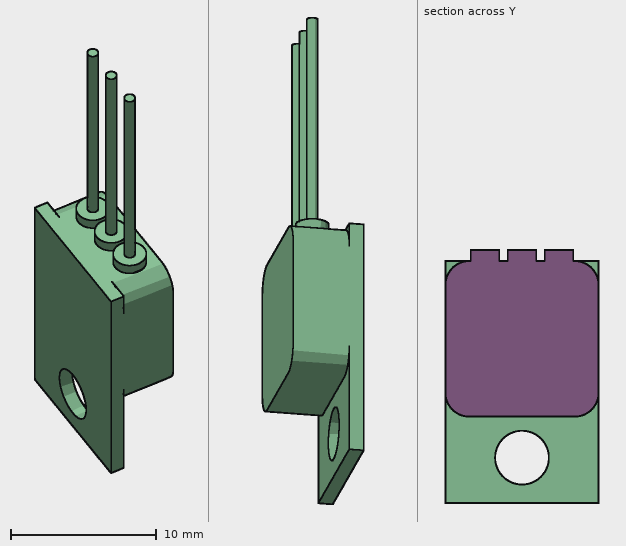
import cadquery as cq

plate_width = 10.54
plate_height = 16.64
plate_thickness = 1.02

hole_diameter = 3.68
hole_below_plate_top = 13.51

overall_depth = 4.95
body_height = 10.7
body_corner_radius = 1.65
body_depth = overall_depth - plate_thickness

overall_height = 32.51
lead_count = 3
lead_pitch = 2.54
lead_diameter = 0.76
lead_y = 3.05
collar_diameter = 2.29
collar_height = 0.76
lead_length = overall_height - plate_height


def make_plate():
    """Flat plate with its bottom edge at Z = 0 and its outer face at Y = 0."""
    plate = cq.Workplane("XY").box(
        plate_width, plate_thickness, plate_height, centered=(True, False, False)
    )
    hole = (
        cq.Workplane("XZ")
        .center(0, plate_height - hole_below_plate_top)
        .circle(hole_diameter / 2)
        .extrude(-plate_thickness)
    )
    return plate.cut(hole)


def make_body():
    """Rectangular body with its four corners rounded about the Y direction."""
    return (
        cq.Workplane("XY")
        .box(plate_width, body_depth, body_height, centered=(True, False, False))
        .edges("|Y")
        .fillet(body_corner_radius)
        .translate((0, plate_thickness, plate_height - body_height))
    )


def make_lead(x):
    """One lead and its collar, standing on the top of the body."""
    base = cq.Workplane("XY", origin=(x, lead_y, plate_height))
    collar = base.circle(collar_diameter / 2).extrude(collar_height)
    lead = base.circle(lead_diameter / 2).extrude(lead_length)
    return collar.union(lead)


result = make_plate().union(make_body())
for index in range(lead_count):
    lead_x = (index - (lead_count - 1) / 2) * lead_pitch
    result = result.union(make_lead(lead_x))